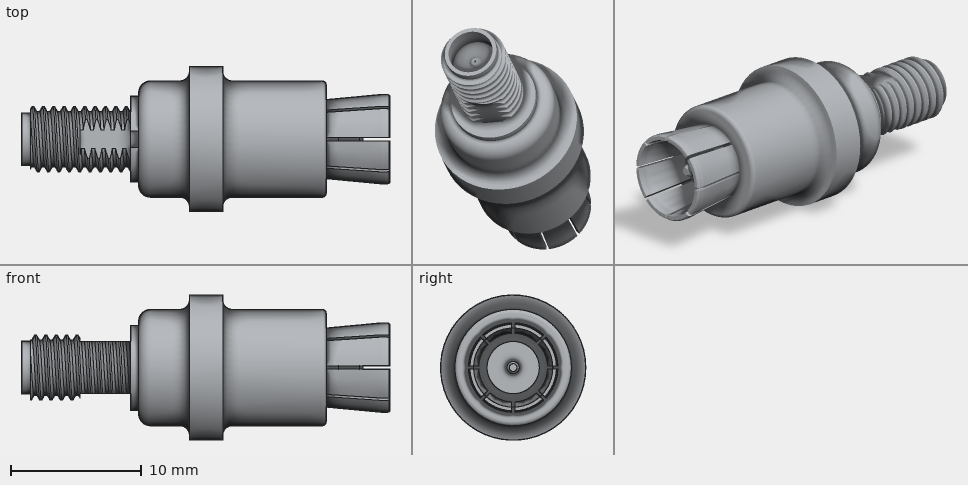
import cadquery as cq
import math


thread_start = 0.67
flats_start = 4.47
washer_start = 8.34
housing_start = 8.95
flange_start = 12.84
flange_end = 15.4
housing_end = 23.32
overall_length = 28.19

housing_radius = 4.46
flange_radius = 11.13 / 2
nose_round = 0.95
flange_fillet = 0.71
rear_round = 0.33

thread_radius = 2.5
tip_radius = 2.02
flat_height = 2.0
socket_radius = 1.72
socket_depth = 1.85
thread_pitch = 25.4 / 32
thread_root_radius = 2.12
thread_crest_width = 0.12
thread_flank_angle = 30
ridge_embed = 0.08

washer_radius = 3.3
washer_slot_width = 1.28

collet_radius = 3.03
collet_tip_radius = 3.43
collet_wall = 0.4
collet_tip_length = 0.63
collet_taper_length = 0.13
collet_taper_drop = 0.04
collet_end_chamfer = 0.08
finger_count = 8
finger_slot_width = 0.25

front_insulator_radius = 1.4
rear_insulator_radius = 2.0
rear_insulator_end = 24.25
contact_radius = 0.47
contact_end = 26.15
contact_tip_radius = 0.3
contact_chamfer = contact_radius - contact_tip_radius
contact_nose_length = 0.3
contact_hole_radius = 0.08
contact_hole_depth = 0.5


def rod(radius, start, end):
    """Solid cylinder on the X axis between two stations."""
    return cq.Workplane("YZ", origin=(start, 0, 0)).circle(radius).extrude(end - start)


def tube(outer_radius, inner_radius, start, end):
    """Hollow cylinder on the X axis between two stations."""
    section = cq.Workplane("YZ", origin=(start, 0, 0)).circle(outer_radius).circle(inner_radius)
    return section.extrude(end - start)


def revolve_about_x(profile):
    """Revolve a closed XY-plane profile about the X axis."""
    return profile.close().revolve(360, (0, 0, 0), (1, 0, 0))


def make_housing():
    """Rounded barrel with a filleted flange, bored for the stem and the collet."""
    diagonal = math.sqrt(0.5)

    def corner(center_x, center_r, radius, x_sign, r_sign):
        """Middle point of a quarter-round arc."""
        return (center_x + x_sign * radius * diagonal, center_r + r_sign * radius * diagonal)

    fillet_center_radius = housing_radius + flange_fillet
    front_fillet_start = flange_start - flange_fillet
    rear_fillet_end = flange_end + flange_fillet
    nose_center = (housing_start + nose_round, housing_radius - nose_round)
    rear_center = (housing_end - rear_round, housing_radius - rear_round)

    profile = (
        cq.Workplane("XY")
        .moveTo(housing_start, thread_root_radius)
        .lineTo(housing_start, nose_center[1])
        .threePointArc(corner(*nose_center, nose_round, -1, 1), (nose_center[0], housing_radius))
        .lineTo(front_fillet_start, housing_radius)
        .threePointArc(
            corner(front_fillet_start, fillet_center_radius, flange_fillet, 1, -1),
            (flange_start, fillet_center_radius),
        )
        .lineTo(flange_start, flange_radius)
        .lineTo(flange_end, flange_radius)
        .lineTo(flange_end, fillet_center_radius)
        .threePointArc(
            corner(rear_fillet_end, fillet_center_radius, flange_fillet, -1, -1),
            (rear_fillet_end, housing_radius),
        )
        .lineTo(rear_center[0], housing_radius)
        .threePointArc(corner(*rear_center, rear_round, 1, 1), (housing_end, rear_center[1]))
        .lineTo(housing_end, collet_radius)
        .lineTo(flange_end, collet_radius)
        .lineTo(flange_end, thread_root_radius)
    )
    return revolve_about_x(profile)


def make_thread_ridge():
    """Right-hand helical ridge, trimmed flat at both ends of the thread."""
    helix_start = thread_start - thread_pitch
    helix_length = washer_start - thread_start + 2 * thread_pitch
    base_radius = thread_root_radius - ridge_embed
    half_crest = thread_crest_width / 2
    flank_run = (thread_radius - base_radius) * math.tan(math.radians(thread_flank_angle))
    half_base = half_crest + flank_run

    path = cq.Wire.makeHelix(thread_pitch, helix_length, base_radius)
    ridge = (
        cq.Workplane("XZ")
        .moveTo(base_radius, -half_base)
        .lineTo(thread_radius, -half_crest)
        .lineTo(thread_radius, half_crest)
        .lineTo(base_radius, half_base)
        .close()
        .sweep(cq.Workplane(path), isFrenet=True)
        .rotate((0, 0, 0), (0, 1, 0), 90)
        .translate((helix_start, 0, 0))
    )
    return ridge.intersect(rod(flange_radius, thread_start, washer_start))


def make_stem():
    """Threaded tube with two flats, a socket at the tip and a plain shank in the housing."""
    stem = rod(tip_radius, 0, thread_start)
    stem = stem.union(rod(thread_root_radius, thread_start, flange_end))
    stem = stem.union(make_thread_ridge())

    flats_length = washer_start - flats_start
    cutter_depth = thread_radius
    cutter = cq.Workplane("XY").box(
        flats_length, 2 * thread_radius, cutter_depth, centered=(False, True, True)
    )
    cutter_height = flat_height + cutter_depth / 2
    for side in (1, -1):
        stem = stem.cut(cutter.translate((flats_start, 0, side * cutter_height)))

    stem = stem.cut(rod(front_insulator_radius, 0, flange_end))
    return stem.cut(rod(socket_radius, 0, socket_depth))


def make_washer():
    """Ring around the shank, with one slot open at the top."""
    washer = tube(washer_radius, thread_root_radius, washer_start, housing_start)
    slot = cq.Workplane("XY").box(
        housing_start - washer_start, washer_slot_width, washer_radius, centered=(False, True, False)
    )
    return washer.cut(slot.translate((washer_start, 0, 0)))


def make_collet():
    """Flared spring collet, slotted into equal fingers beyond the housing."""
    tip_start = overall_length - collet_tip_length
    chamfer_start = overall_length - collet_end_chamfer
    chamfer_radius = collet_tip_radius - collet_taper_drop
    profile = (
        cq.Workplane("XY")
        .moveTo(flange_end, rear_insulator_radius)
        .lineTo(flange_end, collet_radius)
        .lineTo(housing_end, collet_radius)
        .lineTo(tip_start, collet_tip_radius)
        .lineTo(chamfer_start - collet_taper_length, collet_tip_radius)
        .lineTo(chamfer_start, chamfer_radius)
        .lineTo(overall_length, chamfer_radius - collet_end_chamfer)
        .lineTo(overall_length, collet_tip_radius - collet_wall)
        .lineTo(tip_start, collet_tip_radius - collet_wall)
        .lineTo(housing_end, collet_radius - collet_wall)
        .lineTo(housing_end, rear_insulator_radius)
    )
    collet = revolve_about_x(profile)

    finger_length = overall_length - housing_end
    slot = (
        cq.Workplane("XY")
        .box(finger_length, finger_slot_width, collet_tip_radius, centered=(False, True, False))
        .translate((housing_end, 0, 0))
    )
    for index in range(finger_count):
        collet = collet.cut(slot.rotate((0, 0, 0), (1, 0, 0), index * 360 / finger_count))
    return collet


def make_front_insulator():
    """Insulator filling the stem behind its socket."""
    return tube(front_insulator_radius, contact_radius, socket_depth, flange_end)


def make_rear_insulator():
    """Insulator filling the collet base and standing out between the fingers."""
    return tube(rear_insulator_radius, contact_radius, flange_end, rear_insulator_end)


def make_contact():
    """Center pin with tapered ends and a small hole in its socket end."""
    profile = (
        cq.Workplane("XY")
        .moveTo(socket_depth - contact_chamfer, 0)
        .lineTo(socket_depth - contact_chamfer, contact_tip_radius)
        .lineTo(socket_depth, contact_radius)
        .lineTo(contact_end - contact_nose_length, contact_radius)
        .lineTo(contact_end, contact_tip_radius)
        .lineTo(contact_end, 0)
    )
    hole_start = socket_depth - contact_chamfer
    hole = rod(contact_hole_radius, hole_start, hole_start + contact_hole_depth)
    return revolve_about_x(profile).cut(hole)


housing = make_housing()
stem = make_stem()
washer = make_washer()
collet = make_collet()
front_insulator = make_front_insulator()
rear_insulator = make_rear_insulator()
contact = make_contact()

result = cq.Compound.makeCompound([
    housing.val(),
    stem.val(),
    washer.val(),
    collet.val(),
    front_insulator.val(),
    rear_insulator.val(),
    contact.val(),
])